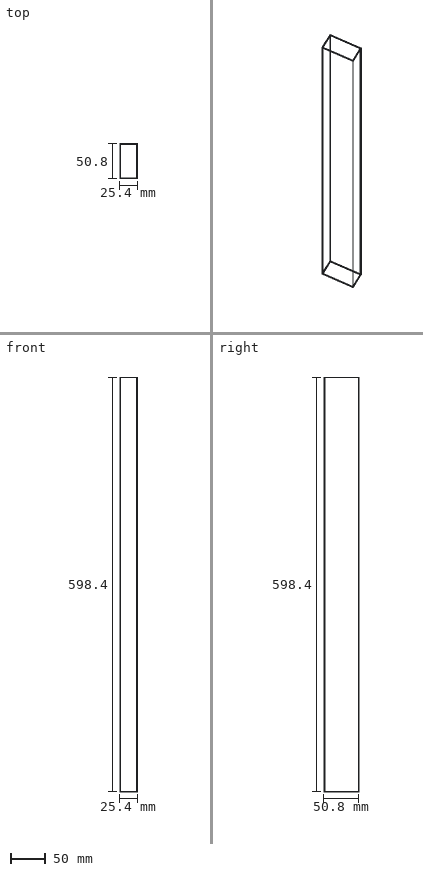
import cadquery as cq

tube_width = 25.4
tube_depth = 50.8
tube_length = 598.4
wall_thickness = 1.245

bore_width = tube_width - 2 * wall_thickness
bore_depth = tube_depth - 2 * wall_thickness

result = (
    cq.Workplane("XY")
    .rect(tube_width, tube_depth)
    .rect(bore_width, bore_depth)
    .extrude(tube_length)
)